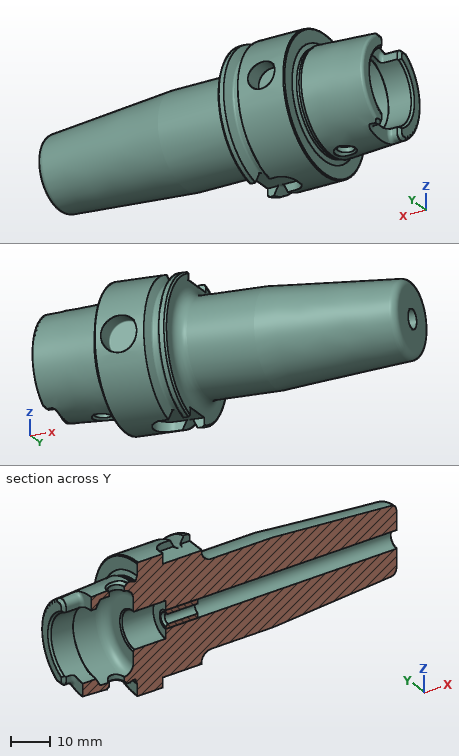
import cadquery as cq
import math


total_length = 99.9
shank_length = 20.0
shank_end_radius = 14.2
shank_edge_fillet = 0.8
land_end = 17.9
land_radius = 15.1
relief_start = 18.8
relief_end = 19.5
relief_radius = 14.7
shoulder_radius = 16.1

flange_radius = 20.0
flange_width = 20.0
flange_end = shank_length + flange_width
flange_front_chamfer = 0.3
flange_back_chamfer = 0.5
groove_center = 36.0
groove_top_half_width = 2.1
groove_floor_half_width = 0.8
groove_floor_radius = 17.5
groove_floor_fillet = 0.5

neck_radius = 13.5
neck_fillet = 3.0
taper_start = 61.7
nose_radius = 10.5
nose_fillet = 2.0

mouth_radius = 10.4
mouth_chamfer = 0.6
mouth_land_end = 7.4
cavity_radius = 12.74
cavity_cone_angle = 60.0
cavity_fillet = 3.0
cavity_floor = 18.8

recess_radius = 5.6
recess_chamfer = 0.4
recess_depth = 10.0
recess_floor = cavity_floor + recess_depth

bore_radius = 2.7
screw_length = 10.0
screw_hole_radius = 1.4
screw_countersink_radius = 2.1

keyway_half_width = 4.0
keyway_ledge = 12.7
keyway_corner_radius = 1.7
keyway_chamfer = 0.9
keyway_end_fillet = 1.0
upper_keyway_depth = 5.9
lower_keyway_depth = 3.3

cross_hole_x = 13.8
cross_hole_radius = 2.3
cross_hole_chamfer = 0.8
slot_start = 28.0
slot_floor = 17.0
slot_corner_radius = 4.0
upper_slot_width = 11.0
lower_slot_width = 9.0
pocket_x = 26.9
pocket_floor_fillet = 0.3
front_pocket_radius = 5.0
rear_pocket_radius = 4.0
rear_pocket_z = 2.0
pocket_depth = 5.4

overshoot = 1.0


def revolve_about_x(outline):
    return outline.close().revolve(360, (0, 0, 0), (1, 0, 0))


def outer_blank():
    outline = (
        cq.Workplane("XZ")
        .lineTo(0, shank_end_radius)
        .lineTo(land_end, land_radius)
        .lineTo(relief_start, relief_radius)
        .lineTo(relief_end, relief_radius)
        .lineTo(shank_length, shoulder_radius)
        .lineTo(shank_length, flange_radius - flange_front_chamfer)
        .lineTo(shank_length + flange_front_chamfer, flange_radius)
        .lineTo(flange_end - flange_back_chamfer, flange_radius)
        .lineTo(flange_end, flange_radius - flange_back_chamfer)
        .lineTo(flange_end, neck_radius + neck_fillet)
        .radiusArc((flange_end + neck_fillet, neck_radius), -neck_fillet)
        .lineTo(taper_start, neck_radius)
        .lineTo(total_length, nose_radius)
        .lineTo(total_length, 0)
    )
    blank = revolve_about_x(outline)
    blank = blank.faces(">X").edges().fillet(nose_fillet)
    return blank.faces("<X").edges().fillet(shank_edge_fillet)


def groove_ring():
    outline = (
        cq.Workplane("XZ")
        .moveTo(groove_center - groove_top_half_width, flange_radius)
        .lineTo(groove_center - groove_floor_half_width, groove_floor_radius)
        .lineTo(groove_center + groove_floor_half_width, groove_floor_radius)
        .lineTo(groove_center + groove_top_half_width, flange_radius)
        .lineTo(groove_center + groove_top_half_width, flange_radius + overshoot)
        .lineTo(groove_center - groove_top_half_width, flange_radius + overshoot)
    )
    floor_edges = cq.selectors.RadiusNthSelector(0)
    return revolve_about_x(outline).edges(floor_edges).fillet(groove_floor_fillet)


def shank_cavity():
    cone_length = (cavity_radius - mouth_radius) / math.tan(math.radians(cavity_cone_angle))
    outline = (
        cq.Workplane("XZ")
        .lineTo(0, mouth_radius + mouth_chamfer)
        .lineTo(mouth_chamfer, mouth_radius)
        .lineTo(mouth_land_end, mouth_radius)
        .lineTo(mouth_land_end + cone_length, cavity_radius)
        .lineTo(cavity_floor - cavity_fillet, cavity_radius)
        .radiusArc((cavity_floor, cavity_radius - cavity_fillet), cavity_fillet)
        .lineTo(cavity_floor, 0)
    )
    return revolve_about_x(outline)


def recess_and_bore():
    outline = (
        cq.Workplane("XZ")
        .moveTo(cavity_floor, 0)
        .lineTo(cavity_floor, recess_radius + recess_chamfer)
        .lineTo(cavity_floor + recess_chamfer, recess_radius)
        .lineTo(recess_floor, recess_radius)
        .lineTo(recess_floor, bore_radius)
        .lineTo(total_length, bore_radius)
        .lineTo(total_length, 0)
    )
    return revolve_about_x(outline)


def keyway_section(x, growth):
    """Closed section of a keyway: a slot with rounded shoulders opening onto a wide ledge."""
    wall = keyway_half_width + growth
    ledge = keyway_ledge - growth
    radius = keyway_corner_radius - growth
    clear_width = shank_end_radius
    clear_height = shank_end_radius + 2 * overshoot
    inner_end = mouth_radius - 2 * overshoot
    return (
        cq.Workplane("YZ", origin=(x, 0, 0))
        .moveTo(-wall, inner_end)
        .lineTo(-wall, ledge - radius)
        .radiusArc((-wall - radius, ledge), -radius)
        .lineTo(-clear_width, ledge)
        .lineTo(-clear_width, clear_height)
        .lineTo(clear_width, clear_height)
        .lineTo(clear_width, ledge)
        .lineTo(wall + radius, ledge)
        .radiusArc((wall, ledge - radius), -radius)
        .lineTo(wall, inner_end)
        .close()
    )


def keyway(depth):
    channel = keyway_section(0, 0).extrude(depth)
    channel = channel.faces(">X").edges().fillet(keyway_end_fillet)
    wide_end = keyway_section(0, keyway_chamfer).wires().val()
    narrow_end = keyway_section(keyway_chamfer, 0).wires().val()
    entry = cq.Solid.makeLoft([wide_end, narrow_end], True)
    return channel.union(cq.Workplane(entry))


def cross_hole():
    """Radial hole from the axis up through the shank wall, countersunk outside."""
    taper = (land_radius - shank_end_radius) / land_end
    surface = shank_end_radius + taper * cross_hole_x
    outline = (
        cq.Workplane("XZ", origin=(cross_hole_x, 0, 0))
        .lineTo(cross_hole_radius, 0)
        .lineTo(cross_hole_radius, surface - cross_hole_chamfer)
        .lineTo(cross_hole_radius + cross_hole_chamfer, surface)
        .lineTo(cross_hole_radius + cross_hole_chamfer, surface + overshoot)
        .lineTo(0, surface + overshoot)
        .close()
    )
    return outline.revolve(360, (0, 0, 0), (0, 1, 0))


def flange_slot(width):
    """Flat-floored slot with a rounded closed end, open at the back of the flange."""
    height = flange_radius - slot_floor + overshoot
    length = flange_end - slot_start + overshoot
    slot = cq.Workplane("XY").box(length, width, height, centered=(False, True, False))
    slot = slot.edges("<X and |Z").fillet(slot_corner_radius)
    return slot.translate((slot_start, 0, slot_floor))


def front_pocket():
    """Flat-bottomed round pocket in the -Y side of the flange."""
    return (
        cq.Workplane("XZ", origin=(pocket_x, pocket_depth - flange_radius, 0))
        .circle(front_pocket_radius)
        .extrude(pocket_depth + overshoot)
        .faces(">Y")
        .edges()
        .fillet(pocket_floor_fillet)
    )


def rear_pocket():
    """Smaller flat-bottomed round pocket in the +Y side of the flange, above its middle."""
    return (
        cq.Workplane("XZ", origin=(pocket_x, flange_radius + overshoot, rear_pocket_z))
        .circle(rear_pocket_radius)
        .extrude(pocket_depth + overshoot)
    )


def opposite(tool):
    return tool.rotate((0, 0, 0), (1, 0, 0), 180)


def make_holder():
    tools = [
        groove_ring(),
        shank_cavity(),
        recess_and_bore(),
        keyway(upper_keyway_depth),
        opposite(keyway(lower_keyway_depth)),
        cross_hole(),
        opposite(cross_hole()),
        flange_slot(upper_slot_width),
        opposite(flange_slot(lower_slot_width)),
        front_pocket(),
        rear_pocket(),
    ]
    body = outer_blank()
    for tool in tools:
        body = body.cut(tool)
    return body


def make_stop_screw():
    countersink_depth = screw_countersink_radius - screw_hole_radius
    outline = (
        cq.Workplane("XZ")
        .moveTo(recess_floor, screw_countersink_radius)
        .lineTo(recess_floor, bore_radius)
        .lineTo(recess_floor + screw_length, bore_radius)
        .lineTo(recess_floor + screw_length, screw_hole_radius)
        .lineTo(recess_floor + countersink_depth, screw_hole_radius)
    )
    return revolve_about_x(outline)


holder = make_holder()
stop_screw = make_stop_screw()
result = cq.Compound.makeCompound([holder.val(), stop_screw.val()])